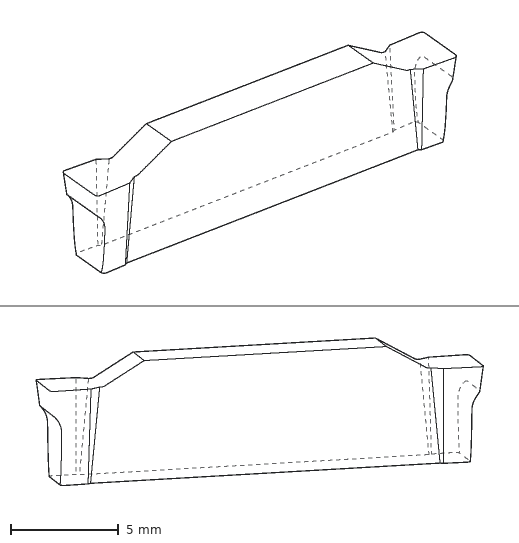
import cadquery as cq
import math

length = 20.83
overall_height = 5.68
cutting_width = 2.76
bar_width = 1.96
head_height = 4.55

ramp_angle = 30.0
ramp_start = 2.64
ramp_root_radius = 0.3

front_clearance = 7.0
side_clearance = 3.0
back_taper = 2.3
neck_angle = 33.0
neck_end_top = 2.46
neck_end_bottom = 2.02
corner_radius = 0.2

lip_height = 1.19
relief_depth = 0.56
relief_arc_height = 0.87

bar_overlap = 0.5
cut_margin = 1.0

tip = length / 2


def slope(degrees):
    return math.tan(math.radians(degrees))


sharp_half_width = cutting_width / 2 + corner_radius * slope(back_taper)


def make_bar():
    """Bar with a raised middle, a ramp at each end and rounded ramp roots."""
    end = tip - neck_end_bottom + bar_overlap
    root = tip - ramp_start
    crest = root - (overall_height - head_height) / slope(ramp_angle)
    bar = (
        cq.Workplane("YZ")
        .moveTo(-end, 0)
        .lineTo(end, 0)
        .lineTo(end, head_height)
        .lineTo(root, head_height)
        .lineTo(crest, overall_height)
        .lineTo(-crest, overall_height)
        .lineTo(-root, head_height)
        .lineTo(-end, head_height)
        .close()
        .extrude(bar_width / 2, both=True)
    )
    for side in (-1, 1):
        root_edge = cq.selectors.NearestToPointSelector((0, side * root, head_height))
        bar = bar.edges(root_edge).fillet(ramp_root_radius)
    return bar


def head_outline(depth, neck_end):
    """Head section at a depth below its top, as points in X and Y."""
    front = depth * slope(front_clearance)
    edge_half = sharp_half_width - depth * slope(side_clearance)
    bar_half = bar_width / 2
    neck_start = (
        (bar_half + neck_end * slope(neck_angle) - edge_half)
        / (slope(neck_angle) - slope(back_taper))
    )
    front_half = edge_half - front * slope(back_taper)
    neck_half = edge_half - neck_start * slope(back_taper)
    right_side = [
        (front_half, front - tip),
        (neck_half, neck_start - tip),
        (bar_half, neck_end - tip),
    ]
    left_side = [(-x, y) for x, y in reversed(right_side)]
    return right_side + left_side


def make_relief():
    """Cutter under the lip: an upright wall that curves out to the lip's lower edge."""
    wall = relief_depth - tip
    lip_bottom = head_height - lip_height
    lip_front = lip_height * slope(front_clearance) - tip
    arc_bottom = lip_bottom - relief_arc_height
    arc_run = wall - lip_front
    radius = (arc_run**2 + relief_arc_height**2) / (2 * arc_run)
    half_sweep = math.asin(relief_arc_height / radius) / 2
    arc_middle = (
        wall - radius * (1 - math.cos(half_sweep)),
        arc_bottom + radius * math.sin(half_sweep),
    )
    outside = -tip - cut_margin
    return (
        cq.Workplane("YZ")
        .moveTo(outside, -cut_margin)
        .lineTo(wall, -cut_margin)
        .lineTo(wall, arc_bottom)
        .threePointArc(arc_middle, (lip_front, lip_bottom))
        .lineTo(outside, lip_bottom)
        .close()
        .extrude(cutting_width, both=True)
    )


def make_head():
    """Cutting head at the -Y end."""
    head = (
        cq.Workplane("XY")
        .polyline(head_outline(head_height, neck_end_bottom))
        .close()
        .workplane(offset=head_height)
        .polyline(head_outline(0, neck_end_top))
        .close()
        .loft(ruled=True, combine=True)
    )
    corner_y = head_height * slope(front_clearance) / 2 - tip
    for side in (-1, 1):
        corner = (side * cutting_width / 2, corner_y, head_height / 2)
        head = head.edges(cq.selectors.NearestToPointSelector(corner)).fillet(corner_radius)
    return head.cut(make_relief())


head_front = make_head()
head_back = head_front.mirror("XZ")
result = make_bar().union(head_front).union(head_back)